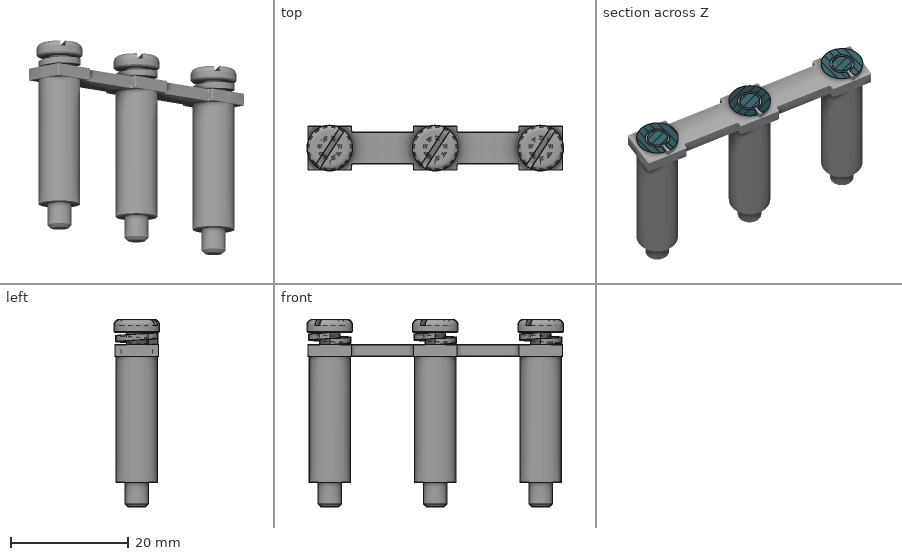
import cadquery as cq

OVERALL_LENGTH = 43.8
OVERALL_HEIGHT = 32.0
POST_COUNT = 3

HEAD_DIAMETER = 7.8
HEAD_HEIGHT = 2.28
HEAD_TOP_FILLET = 1.05
HEAD_BOTTOM_CHAMFER = 0.2
SLOT_WIDTH = 0.95
SLOT_DEPTH = HEAD_TOP_FILLET
SLOT_ANGLE = 57.0
NECK_DIAMETER = 3.5
NECK_HEIGHT = 2.05
TIP_DIAMETER = 4.05
TIP_CHAMFER = 0.53

WASHER_OUTER_DIAMETER = 7.2
WASHER_INNER_DIAMETER = 4.07
WASHER_THICKNESS = 1.0
WASHER_GAP_ANGLE = -90.0

PAD_SIZE = 7.5
PAD_CORNER_RADIUS = 0.2
LINK_WIDTH = 5.45
BAR_THICKNESS = 2.0
SLEEVE_DIAMETER = 7.1
SLEEVE_LENGTH = 21.5

POST_PITCH = (OVERALL_LENGTH - HEAD_DIAMETER) / (POST_COUNT - 1)
POST_POSITIONS = [(i - (POST_COUNT - 1) / 2) * POST_PITCH for i in range(POST_COUNT)]
HEAD_TOP_Z = NECK_HEIGHT + HEAD_HEIGHT
SLEEVE_END_Z = -(BAR_THICKNESS + SLEEVE_LENGTH)
TIP_LENGTH = OVERALL_HEIGHT - HEAD_TOP_Z + SLEEVE_END_Z


def make_bar():
    """Flat bar with a wider square pad at each post and small rounds in all its corners."""
    link_length = POST_POSITIONS[-1] - POST_POSITIONS[0]
    link = cq.Workplane("XY").rect(link_length, LINK_WIDTH).extrude(-BAR_THICKNESS)
    pads = (
        cq.Workplane("XY")
        .pushPoints([(x, 0) for x in POST_POSITIONS])
        .rect(PAD_SIZE, PAD_SIZE)
        .extrude(-BAR_THICKNESS)
    )
    return link.union(pads).edges("|Z").fillet(PAD_CORNER_RADIUS)


def make_head():
    """Round-topped screw head with a straight driver slot, on its narrower neck."""
    head = (
        cq.Workplane("XY", origin=(0, 0, NECK_HEIGHT))
        .circle(HEAD_DIAMETER / 2)
        .extrude(HEAD_HEIGHT)
        .faces(">Z").edges().fillet(HEAD_TOP_FILLET)
        .faces("<Z").edges().chamfer(HEAD_BOTTOM_CHAMFER)
    )
    slot = (
        cq.Workplane("XY", origin=(0, 0, HEAD_TOP_Z))
        .transformed(rotate=(0, 0, SLOT_ANGLE))
        .rect(HEAD_DIAMETER, SLOT_WIDTH)
        .extrude(-SLOT_DEPTH)
    )
    neck = cq.Workplane("XY").circle(NECK_DIAMETER / 2).extrude(NECK_HEIGHT)
    return head.cut(slot).union(neck)


def make_sleeve():
    """Round sleeve below the bar, ending in the chamfered screw tip."""
    sleeve = (
        cq.Workplane("XY", origin=(0, 0, -BAR_THICKNESS))
        .circle(SLEEVE_DIAMETER / 2)
        .extrude(-SLEEVE_LENGTH)
    )
    tip = (
        cq.Workplane("XY", origin=(0, 0, SLEEVE_END_Z))
        .circle(TIP_DIAMETER / 2)
        .extrude(-TIP_LENGTH)
        .faces("<Z").edges().chamfer(TIP_CHAMFER)
    )
    return sleeve.union(tip)


def make_bridge():
    """Bar joined with a screw head above and a sleeve below at every post."""
    bridge = make_bar()
    head = make_head()
    sleeve = make_sleeve()
    for x in POST_POSITIONS:
        bridge = bridge.union(head.translate((x, 0, 0)))
        bridge = bridge.union(sleeve.translate((x, 0, 0)))
    return bridge


def make_spring_washer():
    """One helical turn of rectangular section, rising from the bar to the screw head."""
    rise = NECK_HEIGHT - WASHER_THICKNESS
    mid_height = WASHER_THICKNESS / 2
    mid_radius = (WASHER_INNER_DIAMETER + WASHER_OUTER_DIAMETER) / 4
    section_width = (WASHER_OUTER_DIAMETER - WASHER_INNER_DIAMETER) / 2
    helix = cq.Wire.makeHelix(rise, rise, mid_radius, center=cq.Vector(0, 0, mid_height))
    turn = (
        cq.Workplane("XZ")
        .center(mid_radius, mid_height)
        .rect(section_width, WASHER_THICKNESS)
        .sweep(cq.Workplane(helix), isFrenet=True)
    )
    return turn.rotate((0, 0, 0), (0, 0, 1), WASHER_GAP_ANGLE)


bridge = make_bridge()
spring_washer = make_spring_washer()
spring_washers = [spring_washer.translate((x, 0, 0)) for x in POST_POSITIONS]

result = cq.Compound.makeCompound(
    [bridge.solids().val(), *[washer.solids().val() for washer in spring_washers]]
)